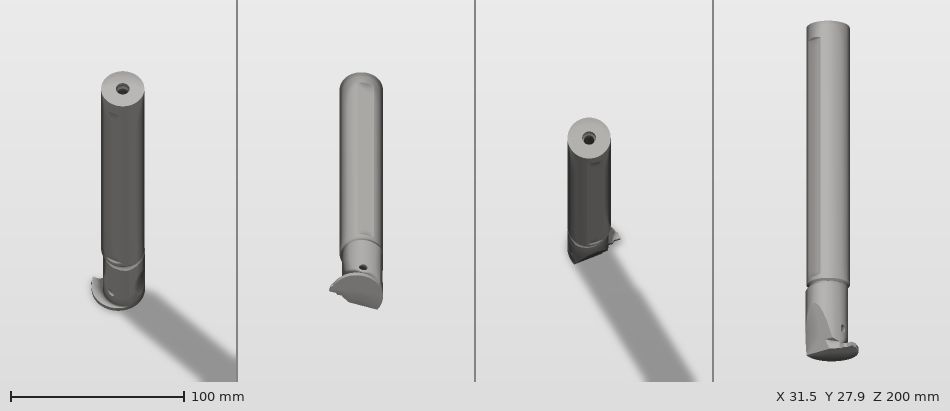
import cadquery as cq
import math

total_length = 200.0
total_width = 31.5
shank_diameter = 25.0
shank_radius = shank_diameter / 2
shank_bottom = 41.8

flat_width = 9.8
flat_bottom = 44.8
flat_top = 190.0
flat_offset = math.sqrt(shank_radius ** 2 - (flat_width / 2) ** 2)

bore_radius = 3.0
bore_mouth_radius = 4.0
bore_mouth_depth = 4.0
bore_bottom = 18.0

undercut_radius = 11.5
undercut_flare = 1.0
undercut_bottom = 39.8

sweep_radius = 15.5
sweep_x = shank_radius - sweep_radius
sweep_y = 0.1
neck_diameter = 24.5
neck_radius = neck_diameter / 2
neck_x = 1.2
neck_y = -0.2
blade_thickness = 2.5
neck_fillet = 0.8

relief_base_y = 5.5
relief_slope = 13.0
relief_turn = 4.5

scallop_length = 21.0
scallop_depth = 1.2
scallop_height = 17.5
scallop_turn = 4.0

outlet_height = 12.5
front_outlet_radius = 2.5
front_outlet_x = -1.5
front_outlet_tilt = 25.0
side_outlet_radius = 1.8
side_outlet_y = -0.8
side_outlet_tilt = 43.0

tip_x = shank_radius - total_width
rake_y = 0.2
seat_y = -4.2
shoulder_y = 1.5
shoulder_x = -14.0
shoulder_slope_x = -15.0
root_x = -9.0
edge_width = 1.2
flank_setback = 0.5
heel_y = -3.5
tip_chamfer = 0.5
chip_step_x = -15.8
chip_step_depth = 0.2

gullet_corner_x = -10.8
gullet_corner_y = 2.0
gullet_run_x = 7.2
gullet_run_y = 4.8
gullet_height = 4.0
gullet_rise = 2.0

margin = 40.0


def cylinder(radius, bottom, top, x=0.0, y=0.0):
    return cq.Workplane("XY", origin=(x, y, bottom)).circle(radius).extrude(top - bottom)


def below_seat():
    """Space on the -Y side of the face that the insert rests against."""
    return cq.Workplane("XY").box(
        2 * margin, margin, 2 * margin, centered=(True, False, True)
    ).translate((0, seat_y - margin, 0))


def make_shank():
    shank = cylinder(shank_radius, shank_bottom - undercut_flare, total_length)
    flat_cutter = (
        cq.Workplane("YZ", origin=(-shank_radius, 0, 0))
        .moveTo(flat_offset, flat_bottom)
        .lineTo(flat_offset, flat_top)
        .lineTo(flat_offset + margin, flat_top + margin)
        .lineTo(flat_offset + margin, flat_bottom - margin)
        .close()
        .extrude(2 * shank_radius)
    )
    return shank.cut(flat_cutter).cut(flat_cutter.mirror("XZ"))


def make_head():
    neck = cylinder(neck_radius, 0, shank_bottom, neck_x, neck_y)
    sweep = cylinder(sweep_radius, 0, shank_bottom, sweep_x, sweep_y)
    neck = neck.union(make_neck_fillet()).intersect(sweep)
    return neck.union(make_blade())


def make_blade():
    blade = cylinder(sweep_radius, 0, blade_thickness, sweep_x, sweep_y)
    return blade.intersect(below_seat())


def make_neck_fillet():
    """Concave ring that blends the blade into the neck."""
    ring = (
        cq.Workplane("XZ")
        .moveTo(neck_radius - neck_fillet, blade_thickness)
        .lineTo(neck_radius + neck_fillet, blade_thickness)
        .radiusArc((neck_radius, blade_thickness + neck_fillet), neck_fillet)
        .lineTo(neck_radius - neck_fillet, blade_thickness + neck_fillet)
        .close()
        .revolve(360, (0, 0, 0), (0, 1, 0))
        .translate((neck_x, neck_y, 0))
    )
    return ring.intersect(below_seat())


def make_undercut_cutter():
    """Ring around the shank axis with flared upper and lower flanks."""
    outer = shank_radius + undercut_flare
    flare = outer - undercut_radius
    return (
        cq.Workplane("XZ")
        .moveTo(undercut_radius, undercut_bottom)
        .lineTo(undercut_radius, shank_bottom - undercut_flare)
        .lineTo(outer, shank_bottom - undercut_flare + flare)
        .lineTo(outer, undercut_bottom - flare)
        .close()
        .revolve(360, (0, 0, 0), (0, 1, 0))
    )


def make_relief_cutter():
    return (
        cq.Workplane("XY")
        .box(2 * margin, margin, 4 * margin, centered=(True, False, True))
        .rotate((0, 0, 0), (1, 0, 0), -relief_slope)
        .rotate((0, 0, 0), (0, 0, 1), relief_turn)
        .translate((0, relief_base_y, 0))
        .intersect(cylinder(margin, 0, shank_bottom))
    )


def make_scallop_cutter():
    half_length = scallop_length / 2
    radius = (half_length ** 2 + scallop_depth ** 2) / (2 * scallop_depth)
    return (
        cq.Workplane("XZ", origin=(0, margin, 0))
        .center(radius - scallop_depth, scallop_height)
        .circle(radius)
        .extrude(2 * margin)
        .rotate((0, 0, 0), (0, 0, 1), -scallop_turn)
        .translate((shank_radius, 0, 0))
    )


def make_gullet_cutter():
    """Slanted wall in plan, under a ceiling that rises toward +Y."""
    plan = (
        cq.Workplane("XY")
        .moveTo(gullet_corner_x, gullet_corner_y)
        .line(gullet_run_x, gullet_run_y)
        .lineTo(-margin, gullet_corner_y + gullet_run_y)
        .lineTo(-margin, gullet_corner_y)
        .close()
        .extrude(gullet_height + gullet_rise)
    )
    ceiling = (
        cq.Workplane("YZ", origin=(-margin, 0, 0))
        .moveTo(gullet_corner_y, 0)
        .line(gullet_run_y, 0)
        .line(0, gullet_height + gullet_rise)
        .lineTo(gullet_corner_y, gullet_height)
        .close()
        .extrude(2 * margin)
    )
    return plan.intersect(ceiling)


def make_bore():
    bore = cylinder(bore_radius, bore_bottom, total_length)
    countersink = cylinder(
        bore_mouth_radius, total_length - bore_mouth_depth, total_length
    ).faces("<Z").edges().chamfer(bore_mouth_radius - bore_radius)
    return bore.union(countersink)


def make_outlet(radius, mouth, inward, tilt):
    """Drilled passage from a mouth on the neck surface, rising inward to the bore."""
    rise = math.sin(math.radians(tilt))
    run = math.cos(math.radians(tilt))
    direction = cq.Vector(inward[0] * run, inward[1] * run, rise)
    overrun = 2 * radius
    start = cq.Vector(*mouth) - direction * overrun
    depth = neck_radius / run + overrun
    return cq.Workplane(cq.Solid.makeCylinder(radius, depth, start, direction))


def make_insert_blank():
    flank_x = tip_x + flank_setback
    seat_x = sweep_x - math.sqrt(sweep_radius ** 2 - (seat_y - sweep_y) ** 2)
    return (
        cq.Workplane("XY")
        .moveTo(tip_x, rake_y)
        .lineTo(shoulder_slope_x, rake_y)
        .lineTo(shoulder_x, shoulder_y)
        .lineTo(root_x, shoulder_y)
        .lineTo(root_x, seat_y)
        .lineTo(seat_x, seat_y)
        .lineTo(flank_x, heel_y)
        .lineTo(flank_x, rake_y - edge_width)
        .lineTo(tip_x, rake_y - edge_width)
        .close()
        .extrude(blade_thickness)
    )


def make_insert():
    insert = make_insert_blank()
    insert = insert.faces("<X").edges("|Y").chamfer(tip_chamfer)
    chip_step = cq.Workplane("XY").box(
        margin, rake_y - seat_y, margin, centered=False
    ).translate((chip_step_x - margin, seat_y, blade_thickness - chip_step_depth))
    return insert.cut(chip_step)


def make_holder():
    holder = make_head().cut(make_relief_cutter()).cut(make_scallop_cutter())
    holder = holder.union(make_shank()).cut(make_undercut_cutter()).cut(make_bore())
    holder = holder.cut(
        make_outlet(
            front_outlet_radius,
            (front_outlet_x, neck_y - neck_radius, outlet_height),
            (0, 1),
            front_outlet_tilt,
        )
    )
    holder = holder.cut(
        make_outlet(
            side_outlet_radius,
            (neck_x - neck_radius, side_outlet_y, outlet_height),
            (1, 0),
            side_outlet_tilt,
        )
    )
    return holder.cut(make_gullet_cutter()).cut(make_insert_blank())


holder = make_holder()
insert = make_insert()

result = cq.Compound.makeCompound([*holder.solids().vals(), *insert.solids().vals()])